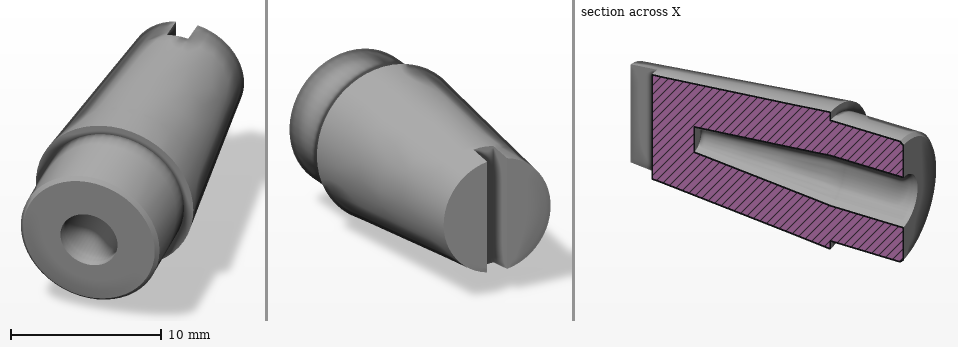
import cadquery as cq

length = 21.0
spigot_diameter = 9.7
spigot_length = 5.5
spigot_chamfer = 0.25
shoulder_diameter = 11.0
tip_diameter = 8.0

slot_width = 1.5
slot_depth = 2.0

bore_diameter = 4.0
bore_floor_diameter = 2.0
bore_straight_length = spigot_length
cone_slope = (shoulder_diameter - tip_diameter) / (length - spigot_length)
bore_taper_length = (bore_diameter - bore_floor_diameter) / cone_slope

front_y = -length / 2
tip_y = length / 2
shoulder_y = front_y + spigot_length


def turned(points):
    """Revolve a closed (radius, y) outline about the Y axis."""
    return cq.Workplane("XY").polyline(points).close().revolve(360, (0, 0, 0), (0, 1, 0))


def make_body():
    spigot_radius = spigot_diameter / 2
    return turned([
        (0, front_y),
        (spigot_radius - spigot_chamfer, front_y),
        (spigot_radius, front_y + spigot_chamfer),
        (spigot_radius, shoulder_y),
        (shoulder_diameter / 2, shoulder_y),
        (tip_diameter / 2, tip_y),
        (0, tip_y),
    ])


def make_bore():
    straight_end_y = front_y + bore_straight_length
    floor_y = straight_end_y + bore_taper_length
    return turned([
        (0, front_y),
        (bore_diameter / 2, front_y),
        (bore_diameter / 2, straight_end_y),
        (bore_floor_diameter / 2, floor_y),
        (0, floor_y),
    ])


def make_slot():
    slot_centre_y = tip_y - slot_depth / 2
    return cq.Workplane("XY").box(slot_width, slot_depth, shoulder_diameter).translate((0, slot_centre_y, 0))


result = make_body().cut(make_bore()).cut(make_slot())